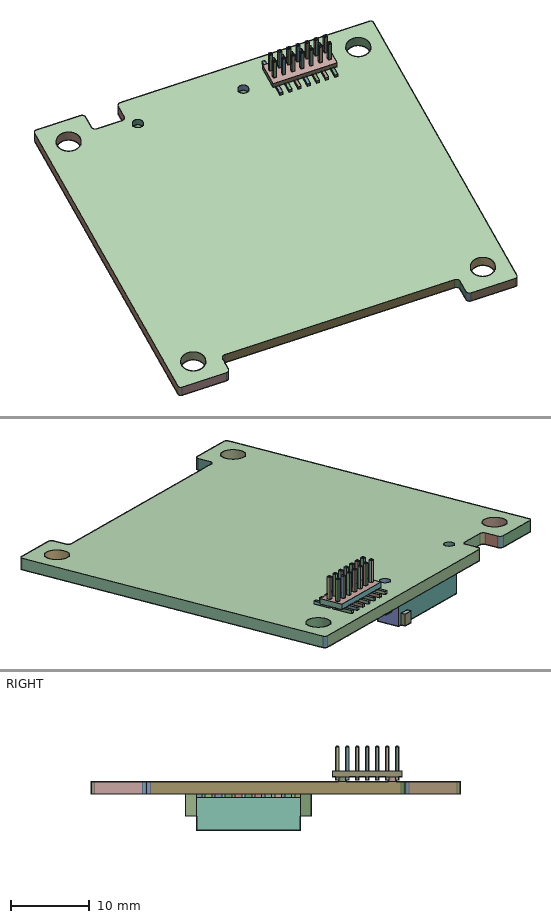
import cadquery as cq

TOTAL_HEIGHT = 10.65

BOARD_SIZE = 46.8
BOARD_THICKNESS = 1.6
CORNER_RADIUS = 0.4
MOUNT_HOLE_DIAMETER = 3.2
MOUNT_HOLE_OFFSET = 20.0
CUTOUT_DEPTH = 2.85
CUTOUT_RADIUS = 0.5
CUTOUT_END_Y = 16.4
LEFT_CUTOUT_LENGTH = 4.5

CONTACT_PITCH = 1.25
CONTACT_WIDTH = 0.4

HEADER_X = -19.25
HEADER_Y = 11.6
HEADER_WIDTH = 3.35
HEADER_LENGTH = 8.85
HEADER_GAP = 0.6
HEADER_THICKNESS = 0.75
PIN_ROWS = 2
PINS_PER_ROW = 7
PIN_TOP_Z = 6.1
PIN_TIP_CHAMFER = 0.115
FOOT_SPAN = 5.75
POST_DIAMETER = 1.05

SOCKET_X = -19.3
SOCKET_Y = -3.45
SOCKET_WIDTH = 3.2
SOCKET_LENGTH = 13.15
SOCKET_GAP = 0.4
SOCKET_BOTTOM_Z = PIN_TOP_Z - TOTAL_HEIGHT
KEY_DEPTH = 0.6
KEY_LENGTH = 1.35
KEY_HEIGHT = 1.65
KEY_Y = 1.83

STRIP_WIDTH = 1.2
SOCKET_CONTACTS = 10
SOCKET_CONTACT_SPAN = 1.8

CLIP_WIDTH = 1.2
CLIP_LENGTH = 1.4
CLIP_HEIGHT = 2.75
PEG_DIAMETER = 1.4
PEG_CONE_HEIGHT = 0.7
PEG_TIP_DEPTH = 0.35

CLIP_Y_OFFSET = (SOCKET_LENGTH + CLIP_LENGTH) / 2
CLIP_POINTS = [(SOCKET_X, SOCKET_Y + side * CLIP_Y_OFFSET) for side in (-1, 1)]


def block(x_range, y_range, z_range):
    """Box given by its lower and upper limits along X, Y and Z."""
    (x0, x1), (y0, y1), (z0, z1) = x_range, y_range, z_range
    return cq.Workplane("XY").box(x1 - x0, y1 - y0, z1 - z0, centered=False).translate((x0, y0, z0))


def around(center, size):
    """Limits of a length that is centred on a place."""
    return (center - size / 2, center + size / 2)


def row_places(center, count):
    """Evenly pitched contact places, centred on a place."""
    return [center + (i - (count - 1) / 2) * CONTACT_PITCH for i in range(count)]


def make_board():
    """Plate with a long cutout in its right side and a short one in its left side."""
    half = BOARD_SIZE / 2
    inner = half - CUTOUT_DEPTH
    left_cutout_top = LEFT_CUTOUT_LENGTH - CUTOUT_END_Y
    outline = [
        (-half, -half),
        (half, -half),
        (half, -CUTOUT_END_Y),
        (inner, -CUTOUT_END_Y),
        (inner, CUTOUT_END_Y),
        (half, CUTOUT_END_Y),
        (half, half),
        (-half, half),
        (-half, left_cutout_top),
        (-inner, left_cutout_top),
        (-inner, -CUTOUT_END_Y),
        (-half, -CUTOUT_END_Y),
    ]
    board = cq.Workplane("XY").polyline(outline).close().extrude(BOARD_THICKNESS)
    cutout_edges = board.edges("|Z").filter(lambda edge: abs(edge.Center().y) < half)
    board = cutout_edges.fillet(CUTOUT_RADIUS)
    board = board.edges("|Z and (<Y or >Y)").fillet(CORNER_RADIUS)

    mount_points = [(x * MOUNT_HOLE_OFFSET, y * MOUNT_HOLE_OFFSET) for x in (-1, 1) for y in (-1, 1)]
    mount_holes = (
        cq.Workplane("XY").pushPoints(mount_points).circle(MOUNT_HOLE_DIAMETER / 2).extrude(BOARD_THICKNESS)
    )
    peg_holes = cq.Workplane("XY").pushPoints(CLIP_POINTS).circle(PEG_DIAMETER / 2).extrude(BOARD_THICKNESS)
    return board.cut(mount_holes).cut(peg_holes)


def make_header():
    """Bar with two rows of pins, their solder feet and two posts that stand on the board."""
    bar_bottom = BOARD_THICKNESS + HEADER_GAP
    bar_top = bar_bottom + HEADER_THICKNESS
    header = block(
        around(HEADER_X, HEADER_WIDTH), around(HEADER_Y, HEADER_LENGTH), (bar_bottom, bar_top)
    )

    pin_xs = row_places(HEADER_X, PIN_ROWS)
    pin_ys = row_places(HEADER_Y, PINS_PER_ROW)
    foot_z_range = (bar_bottom - CONTACT_WIDTH, bar_bottom)
    foot_ends = around(HEADER_X, FOOT_SPAN)
    for pin_x, foot_end in zip(pin_xs, foot_ends):
        pin_x_range = around(pin_x, CONTACT_WIDTH)
        inner_side = max(pin_x_range, key=lambda x: abs(x - foot_end))
        foot_x_range = sorted((foot_end, inner_side))
        for pin_y in pin_ys:
            pin_y_range = around(pin_y, CONTACT_WIDTH)
            pin = block(pin_x_range, pin_y_range, (bar_bottom, PIN_TOP_Z))
            pin = pin.faces(">Z").chamfer(PIN_TIP_CHAMFER)
            foot = block(foot_x_range, pin_y_range, foot_z_range)
            header = header.union(pin).union(foot)

    post_ys = [(pin_ys[0] + pin_ys[1]) / 2, (pin_ys[-1] + pin_ys[-2]) / 2]
    posts = (
        cq.Workplane("XY", origin=(0, 0, BOARD_THICKNESS))
        .pushPoints([(HEADER_X, y) for y in post_ys])
        .circle(POST_DIAMETER / 2)
        .extrude(HEADER_GAP)
    )
    return header.union(posts)


def make_socket():
    """Plain housing with a key on its left side."""
    x_range = around(SOCKET_X, SOCKET_WIDTH)
    housing = block(x_range, around(SOCKET_Y, SOCKET_LENGTH), (SOCKET_BOTTOM_Z, -SOCKET_GAP))
    key = block(
        (x_range[0] - KEY_DEPTH, x_range[0]),
        around(KEY_Y, KEY_LENGTH),
        (SOCKET_BOTTOM_Z, SOCKET_BOTTOM_Z + KEY_HEIGHT),
    )
    return housing.union(key)


def make_contact_strip():
    """Strip with a cross bar for each pair of contacts, filling the gap above the socket."""
    z_range = (-SOCKET_GAP, 0)
    strip = block(around(SOCKET_X, STRIP_WIDTH), around(SOCKET_Y, SOCKET_LENGTH), z_range)
    for contact_y in row_places(SOCKET_Y, SOCKET_CONTACTS):
        contact = block(
            around(SOCKET_X, SOCKET_CONTACT_SPAN), around(contact_y, CONTACT_WIDTH), z_range
        )
        strip = strip.union(contact)
    return strip


def make_clip(center):
    """Block against the socket's end, with a cone-tipped peg in the board."""
    x, y = center
    clip = block(around(x, CLIP_WIDTH), around(y, CLIP_LENGTH), (-CLIP_HEIGHT, 0))
    radius = PEG_DIAMETER / 2
    tip_z = BOARD_THICKNESS - PEG_TIP_DEPTH
    peg = (
        cq.Workplane("XZ")
        .polyline([(0, 0), (radius, 0), (radius, tip_z - PEG_CONE_HEIGHT), (0, tip_z)])
        .close()
        .revolve(360, (0, 0), (0, 1))
        .translate((x, y, 0))
    )
    return clip.union(peg)


board = make_board()
header = make_header()
socket = make_socket()
contact_strip = make_contact_strip()
clips = [make_clip(center) for center in CLIP_POINTS]

result = cq.Compound.makeCompound(
    [board.val(), header.val(), socket.val(), contact_strip.val(), *[clip.val() for clip in clips]]
)